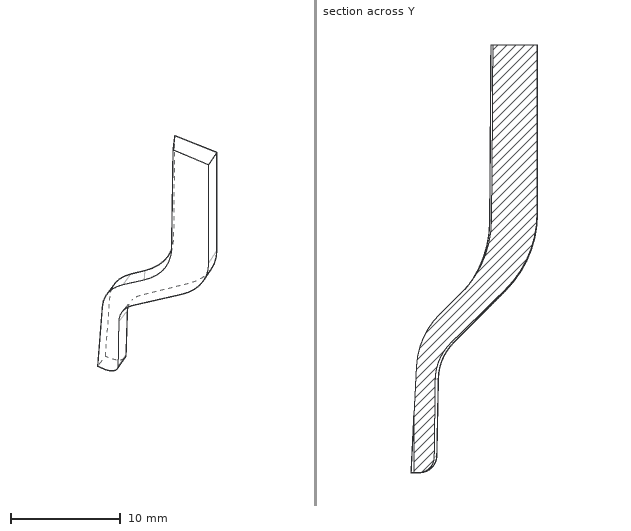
import cadquery as cq
import math


HEIGHT = 39.0

FRONT_LEAN = 6.98
FRONT_Y_AT_ORIGIN = -1.315
BACK_LEAN = 5.7
BACK_Y_AT_ORIGIN = 0.026

SHARP = 0.0

FRONT_CORNERS = [
    (7.68, HEIGHT, SHARP),
    (7.49, 19.41, 9.5),
    (0.62, 12.53, 7.25),
    (0.0, 0.0, SHARP),
    (2.08, 0.0, 1.4),
    (2.20, 10.49, 4.95),
    (11.32, 19.62, 9.5),
    (11.32, HEIGHT, SHARP),
]
BACK_CORNERS = [
    (7.28, HEIGHT, SHARP),
    (7.14, 18.82, 9.9),
    (0.86, 12.53, 7.25),
    (0.26, 0.0, SHARP),
    (2.34, 0.0, 1.6),
    (2.55, 10.50, 4.7),
    (11.54, 19.52, 9.9),
    (11.54, HEIGHT, SHARP),
]


def leaning_plane(lean, y_at_origin):
    """Vertical plane turned about Z, with its local Y along global Z."""
    angle = math.radians(lean)
    along = (math.cos(angle), -math.sin(angle), 0)
    normal = (-math.sin(angle), -math.cos(angle), 0)
    return cq.Plane(origin=(0, y_at_origin, 0), xDir=along, normal=normal)


def corner_arc(before, corner, after, radius):
    """Start, middle and end of the arc that rounds a corner."""
    to_before = (before - corner).normalized()
    to_after = (after - corner).normalized()
    half_angle = to_before.getAngle(to_after) / 2
    tangent_length = radius / math.tan(half_angle)
    bisector = (to_before + to_after).normalized()
    middle_distance = radius / math.sin(half_angle) - radius
    start = corner + to_before * tangent_length
    middle = corner + bisector * middle_distance
    end = corner + to_after * tangent_length
    return start, middle, end


def face_outline(corners, lean, y_at_origin):
    """Closed outline of one face, with its bends rounded in the face plane."""
    plane = leaning_plane(lean, y_at_origin)
    stretch = 1 / math.cos(math.radians(lean))
    points = [plane.toWorldCoords((x * stretch, z)) for x, z, _ in corners]
    first = points[0]
    position = first
    edges = []
    for i in range(1, len(corners)):
        radius = corners[i][2]
        if radius == SHARP:
            edges.append(cq.Edge.makeLine(position, points[i]))
            position = points[i]
        else:
            start, middle, end = corner_arc(points[i - 1], points[i], points[i + 1], radius)
            edges.append(cq.Edge.makeLine(position, start))
            edges.append(cq.Edge.makeThreePointArc(start, middle, end))
            position = end
    edges.append(cq.Edge.makeLine(position, first))
    return cq.Wire.assembleEdges(edges)


def make_blade():
    front = face_outline(FRONT_CORNERS, FRONT_LEAN, FRONT_Y_AT_ORIGIN)
    back = face_outline(BACK_CORNERS, BACK_LEAN, BACK_Y_AT_ORIGIN)
    return cq.Solid.makeLoft([front, back], ruled=True)


result = cq.Workplane("XY").newObject([make_blade()])